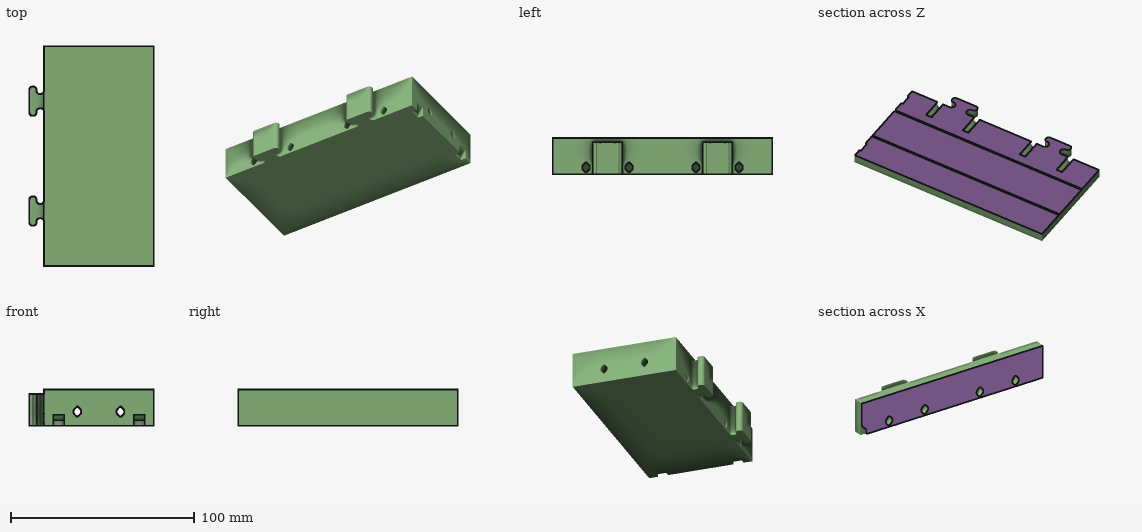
import cadquery as cq
import math

block_x = 60.0
block_y = 120.0
block_z = 20.0

connector_reach = 8.0
connector_half_width = 8.0
connector_height = 17.5
connector_spacing = block_y / 2
head_thickness = connector_reach / 2
neck_half_width = 4.0
corner_radius = 1.8

bore_diameter = 4.2
bore_half_height = 2.8
bore_offset = 11.8
long_bore_z = 7.8
side_bore_z = 3.8
side_bore_depth = 12.0

notch_width = 6.0
notch_height = 6.0
notch_back_height = 3.0
notch_depth = notch_height - notch_back_height
notch_offset = 22.0

connector_centres = [-connector_spacing / 2, connector_spacing / 2]


def connector(centre_y):
    """T-shaped connector with rounded head corners and rounded inner corners at the neck."""
    wall_x = -block_x / 2
    outer_x = wall_x - connector_reach
    inner_x = outer_x + head_thickness
    r = corner_radius
    head_y = connector_half_width
    neck_y = neck_half_width
    half = (
        cq.Workplane("XY")
        .moveTo(wall_x, 0)
        .lineTo(wall_x, neck_y + r)
        .radiusArc((wall_x - r, neck_y), r)
        .lineTo(inner_x + r, neck_y)
        .radiusArc((inner_x, neck_y + r), r)
        .lineTo(inner_x, head_y - r)
        .radiusArc((inner_x - r, head_y), -r)
        .lineTo(outer_x + r, head_y)
        .radiusArc((outer_x, head_y - r), -r)
        .lineTo(outer_x, 0)
        .close()
        .extrude(connector_height)
    )
    return half.union(half.mirror("XZ")).translate((0, centre_y, 0))


def bore(length):
    """Bore along +Y from the origin: a circle with blunt 45 degree peaks above and below."""
    radius = bore_diameter / 2
    tangent = radius / math.sqrt(2)
    top = bore_half_height
    flat = radius * math.sqrt(2) - top
    return (
        cq.Workplane("XZ")
        .moveTo(-flat, top)
        .lineTo(flat, top)
        .lineTo(tangent, tangent)
        .threePointArc((radius, 0), (tangent, -tangent))
        .lineTo(flat, -top)
        .lineTo(-flat, -top)
        .lineTo(-tangent, -tangent)
        .threePointArc((-radius, 0), (-tangent, tangent))
        .close()
        .extrude(-length)
    )


def notch(centre_x):
    """Notch open to the front and below, with its roof falling towards the back."""
    side = (
        cq.Workplane("YZ")
        .polyline([(0, 0), (0, notch_height), (notch_depth, notch_back_height), (notch_depth, 0)])
        .close()
        .extrude(notch_width / 2, both=True)
    )
    return side.translate((centre_x, -block_y / 2, 0))


result = cq.Workplane("XY").box(block_x, block_y, block_z, centered=(True, True, False))

for centre_y in connector_centres:
    result = result.union(connector(centre_y))

for side in (-1, 1):
    result = result.cut(bore(block_y).translate((side * bore_offset, -block_y / 2, long_bore_z)))

    side_bore = bore(side_bore_depth).rotate((0, 0, 0), (0, 0, 1), -90)
    for centre_y in connector_centres:
        result = result.cut(side_bore.translate((-block_x / 2, centre_y + side * bore_offset, side_bore_z)))

    result = result.cut(notch(side * notch_offset))